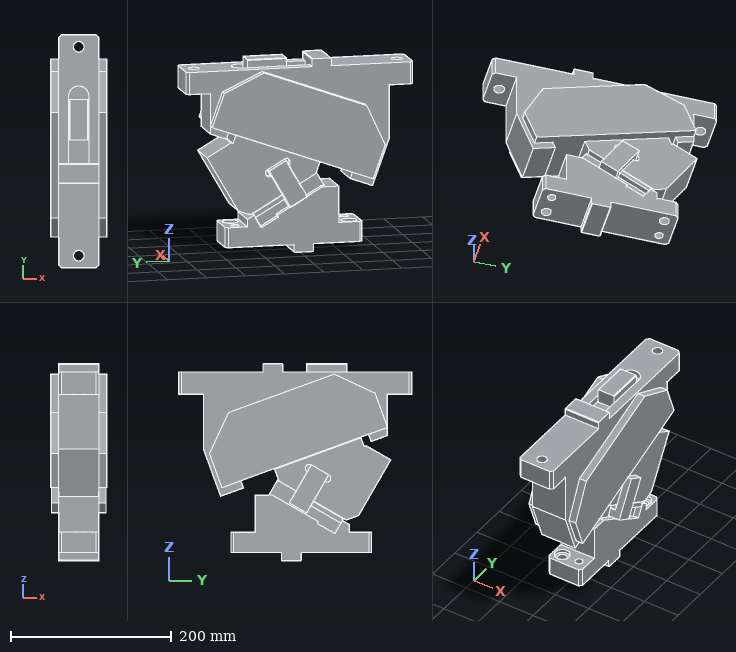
import cadquery as cq
import math


overall_width = 70.0
overall_height = 245.0
body_width = 50.0
half_body = body_width / 2
mount_level = 112.5
key_height = overall_height / 2 - mount_level
key_width = 25.0
key_bevel = 1.0
corner_chamfer = 3.5
dowel_diameter = 10.0
reach = 174.0

driver_slope = -20.0
base_slope = 30.0

flange_half_length = 145.0
driver_flange_thickness = 28.0
driver_back = -114.5
driver_front = 114.3
driver_face = 1.5
driver_tip = 101.8
hook_height = 9.5
hook_gap_start = -97.5
hook_gap_end = 71.3
driver_key_start = 15.5
driver_hole_diameter = 13.0
driver_hole_y = 130.0

slot_width = 25.2
slot_depth = 10.0
slot_end_y = 81.2
stop_width = 24.0
stop_y_min = 14.2
stop_y_max = 64.0
stop_bevel = 1.0

plate_start = -122.7
plate_end = 96.5
plate_height = 85.0
plate_chamfer = 39.7

slide_top = driver_face
slide_bevel = 1.0
slide_step = -10.7
slide_block_overlap = 9.5
slide_nose = -89.3
slide_top_start = -87.3
slide_top_end = 27.3
slide_back = -101.5
slide_back_top = 62.0
slide_foot = -30.5

strap_start = -43.8
strap_width = 25.0
strap_end = strap_start + strap_width
strap_top = 7.2
strap_length = 54.8
strap_bottom = strap_top - strap_length
strap_outer_x = 34.0
hook_inner_x = 17.7
relief_radius = 5.0

base_back = -95.0
base_front = 80.0
base_flange_top = -87.0
block_back = -67.3
block_front = 50.0
block_top = -41.0
base_key_start = -7.5

rail_start = -87.0
rail_end = 8.0
rail_top = slide_foot
stem_half_width = 17.5
lip_top = rail_top - 0.5
lip_bottom = -37.0
lip_end = strap_end
lip_half_width = 24.6
shoulder_top = -33.4
ledge_top = -49.5
pocket_floor = -52.2
pocket_end = -61.8
hook_clearance = 0.5

base_hole_x = 12.5
base_hole_front_y = -65.5
base_hole_back_y = 80.0
screw_diameter = 12.0
screw_head_diameter = 19.7
screw_head_depth = 4.5


def incline(angle):
    """Workplane across X with its first axis along -Y, tilted up by the angle in degrees."""
    tilt = math.radians(angle)
    return cq.Workplane(cq.Plane((0, 0, 0), (0, -math.cos(tilt), math.sin(tilt)), (-1, 0, 0)))


def bar(angle, start, end, bottom, top, width=body_width):
    """Rectangular bar on an incline, centred on X = 0."""
    centre = ((start + end) / 2, (bottom + top) / 2)
    sketch = incline(angle).pushPoints([centre]).rect(end - start, top - bottom)
    return sketch.extrude(width / 2, both=True)


def side_pair(shape, inner_x, outer_x):
    """Parts of a symmetric shape that lie between two distances from X = 0."""
    outer = cq.Workplane("XY").box(2 * outer_x, 4 * reach, 4 * reach)
    inner = cq.Workplane("XY").box(2 * inner_x, 4 * reach, 4 * reach)
    return shape.intersect(outer.cut(inner))


def flange(start, end, bottom, top):
    """Mounting flange with its four upright corners chamfered."""
    return bar(0, start, end, bottom, top).edges("|Z").chamfer(corner_chamfer)


def key(start, bottom, top, outer_face):
    """Cross key with its two long outer edges bevelled."""
    plain = bar(0, start, start + key_width, bottom, top)
    return plain.faces(outer_face).edges("|X").chamfer(key_bevel)


def upright_cylinder(x, y, diameter, bottom, top):
    return cq.Workplane("XY", origin=(x, y, bottom)).circle(diameter / 2).extrude(top - bottom)


def make_side_plates():
    bottom = driver_face
    top = driver_face + plate_height
    outline = (
        incline(driver_slope)
        .moveTo(plate_start, bottom)
        .lineTo(plate_start, top - plate_chamfer)
        .lineTo(plate_start + plate_chamfer, top)
        .lineTo(plate_end - plate_chamfer, top)
        .lineTo(plate_end, top - plate_chamfer)
        .lineTo(plate_end, bottom)
        .close()
        .extrude(overall_width / 2, both=True)
    )
    return side_pair(outline, half_body, overall_width / 2)


def make_driver():
    flange_bottom = mount_level - driver_flange_thickness
    body = bar(0, driver_back, driver_front, -reach, mount_level)
    body = body.intersect(bar(driver_slope, -reach, driver_tip, driver_face - hook_height, reach))
    body = body.cut(bar(driver_slope, hook_gap_start, hook_gap_end, -reach, driver_face))
    body = body.union(flange(-flange_half_length, flange_half_length, flange_bottom, mount_level))

    slot_floor = mount_level - slot_depth
    slot_arc_y = slot_end_y - slot_width / 2
    slot = bar(0, -slot_arc_y, driver_key_start, slot_floor, mount_level, slot_width)
    slot = slot.union(upright_cylinder(0, slot_arc_y, slot_width, slot_floor, mount_level))
    stop = bar(0, -stop_y_max, -stop_y_min, slot_floor, mount_level + key_height, stop_width)
    stop = stop.faces(">Z").edges("|Y").chamfer(stop_bevel)
    body = body.cut(slot).union(stop)

    body = body.union(key(driver_key_start, mount_level, mount_level + key_height, ">Z"))
    for y in (-driver_hole_y, driver_hole_y):
        body = body.cut(upright_cylinder(0, y, driver_hole_diameter, flange_bottom, mount_level))
    return body.union(make_side_plates())


def make_straps():
    """Pair of straps whose lower ends hook inward under the lips of the base rail."""
    hook_top = lip_bottom - hook_clearance
    full = bar(base_slope, strap_start, strap_end, strap_bottom, strap_top, 2 * strap_outer_x)
    hook = bar(base_slope, strap_start, strap_end, strap_bottom, hook_top, 2 * strap_outer_x)
    return side_pair(full, half_body, strap_outer_x).union(side_pair(hook, hook_inner_x, strap_outer_x))


def make_slide():
    body = bar(driver_slope, -reach, slide_top_end, slide_nose, slide_step)
    body = body.intersect(bar(base_slope, slide_back, reach, slide_foot, slide_back_top))

    upper_bottom = slide_step - slide_block_overlap
    upper_block = bar(driver_slope, slide_top_start, slide_top_end, upper_bottom, slide_top)
    topmost_face = cq.selectors.DirectionMinMaxSelector(incline(driver_slope).plane.yDir)
    upper_block = upper_block.faces(topmost_face).edges("not |X").chamfer(slide_bevel)
    body = body.union(upper_block.intersect(bar(base_slope, -reach, reach, slide_foot, reach)))

    relief_level = strap_top - relief_radius
    corners = [(strap_start, relief_level), (strap_end, relief_level)]
    reliefs = incline(base_slope).pushPoints(corners).circle(relief_radius).extrude(half_body, both=True)
    reliefs = reliefs.cut(bar(base_slope, strap_start, strap_end, strap_bottom, strap_top))
    body = body.cut(side_pair(reliefs, hook_inner_x, half_body))
    return body.union(make_straps())


def make_base():
    block = bar(0, block_back, block_front, base_flange_top, block_top)
    block = block.cut(bar(base_slope, -reach, rail_start, shoulder_top, reach))
    block = block.cut(bar(base_slope, rail_start, reach, ledge_top, reach))
    pocket = bar(base_slope, rail_start, pocket_end, pocket_floor, ledge_top)
    body = block.union(flange(base_back, base_front, -mount_level, base_flange_top)).cut(pocket)

    stem = bar(base_slope, rail_start, rail_end, pocket_floor, rail_top, 2 * stem_half_width)
    lips = bar(base_slope, rail_start, lip_end, lip_bottom, lip_top, 2 * lip_half_width)
    body = body.union(stem).union(lips)
    body = body.union(key(base_key_start, -mount_level - key_height, -mount_level, "<Z"))

    head_floor = base_flange_top - screw_head_depth
    for y, screw_x in ((base_hole_front_y, -base_hole_x), (base_hole_back_y, base_hole_x)):
        body = body.cut(upright_cylinder(screw_x, y, screw_diameter, -mount_level, base_flange_top))
        body = body.cut(upright_cylinder(screw_x, y, screw_head_diameter, head_floor, base_flange_top))
        body = body.cut(upright_cylinder(-screw_x, y, dowel_diameter, -mount_level, base_flange_top))
    return body


driver = make_driver()
slide = make_slide()
base = make_base()

result = cq.Compound.makeCompound([body.solids().val() for body in (driver, slide, base)])